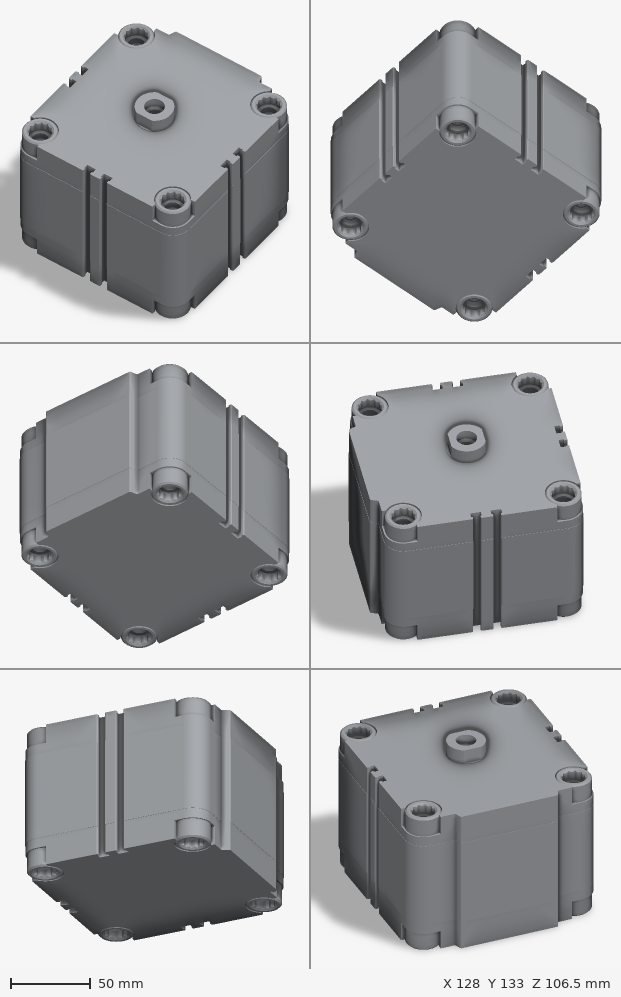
import cadquery as cq
import math

half_width = 64.0
housing_height = 96.5
cap_height = 19.3
cap_inset = 0.2
corner_radius = 12.5
edge_margin = 0.7

pad_height = 5.0
pad_base_half = 35.1
pad_top_half = 33.2
pad_fillet = 1.0

slot_centre = 6.5
slot_width = 6.8
slot_mouth = 4.9
slot_depth = 5.7
lip_thickness = 2.4
lip_chamfer = 0.5

screw_pitch_half = 51.3
screw_diameter = 23.0
screw_height = 12.6
screw_chamfer = 1.0
screw_bore_diameter = 23.3
corner_recess_start = 44.8
socket_diameter = 16.0
socket_depth = 7.8
socket_teeth_length = 6.3
socket_undercut_diameter = 15.4
socket_points = 12
socket_sink_diameter = 17.5
screw_hole_diameter = 10.6
through_hole_diameter = 8.4

rod_diameter = 25.0
rod_stick_out = 10.0
rod_insert = cap_height
rod_across_flats = 22.0
flat_clearance = 0.5
rod_bore_diameter = 13.0
rod_bore_depth = 6.5
thread_hole_diameter = 10.1
thread_hole_depth = 20.0
drill_tip_angle = 118


def profile(inset):
    """Rounded square outline with the raised pad, moved inwards by inset."""
    y_low = -half_width + inset
    y_high = half_width - inset
    y_pad = y_high + pad_height
    r = corner_radius - inset
    bulge = r * math.sqrt(0.5)
    x_side = half_width - inset
    x_arc = x_side - r
    return (
        cq.Workplane("XY")
        .moveTo(-x_arc, y_low)
        .lineTo(x_arc, y_low)
        .threePointArc((x_arc + bulge, y_low + r - bulge), (x_side, y_low + r))
        .lineTo(x_side, y_high - r)
        .threePointArc((x_arc + bulge, y_high - r + bulge), (x_arc, y_high))
        .lineTo(pad_base_half, y_high)
        .lineTo(pad_top_half, y_pad)
        .lineTo(-pad_top_half, y_pad)
        .lineTo(-pad_base_half, y_high)
        .lineTo(-x_arc, y_high)
        .threePointArc((-x_arc - bulge, y_high - r + bulge), (-x_side, y_high - r))
        .lineTo(-x_side, y_low + r)
        .threePointArc((-x_arc - bulge, y_low + r - bulge), (-x_arc, y_low))
        .close()
    )


def section(inset, z_bottom, height):
    """One length of the housing, with the pad edges rounded."""
    block = profile(inset).extrude(height)
    pad_zone = cq.selectors.BoxSelector(
        (-pad_base_half - edge_margin, half_width - inset - edge_margin, 0),
        (pad_base_half + edge_margin, half_width + pad_height + edge_margin, height),
    )
    return block.edges("|Z").edges(pad_zone).fillet(pad_fillet).translate((0, 0, z_bottom))


def slot_pair(face_inset):
    """Cutter for the two T-slots of the -Y face, chamfered where they meet the face."""
    y_face = -half_width + face_inset
    y_lip = -half_width + lip_thickness
    y_floor = -half_width + slot_depth
    mouth = slot_mouth / 2
    wide = slot_width / 2
    flare = mouth + lip_chamfer + edge_margin
    right_side = [
        (flare, y_face - edge_margin),
        (mouth, y_face + lip_chamfer),
        (mouth, y_lip),
        (wide, y_lip),
        (wide, y_floor),
    ]
    left_side = [(-x, y) for x, y in reversed(right_side)]
    slot = cq.Workplane("XY").polyline(right_side + left_side).close().extrude(housing_height)
    left_slot = slot.translate((-slot_centre, 0, 0))
    return slot.translate((slot_centre, 0, 0)).union(left_slot)


def cut_slots(block, face_inset):
    """Cut the slot pairs into the -Y, -X and +X faces of one section."""
    block = block.cut(slot_pair(face_inset))
    for angle in (-90, 90):
        block = block.cut(slot_pair(face_inset).rotate((0, 0, 0), (0, 0, 1), angle))
    return block


def corner_recess(x_sign, y_sign):
    """Square corner cut-out with a round end for the screw, up from Z = 0."""
    size = half_width + edge_margin - corner_recess_start
    middle = corner_recess_start + size / 2
    box = (
        cq.Workplane("XY")
        .center(x_sign * middle, y_sign * middle)
        .rect(size, size)
        .extrude(screw_height)
    )
    bore = (
        cq.Workplane("XY")
        .center(x_sign * screw_pitch_half, y_sign * screw_pitch_half)
        .circle(screw_bore_diameter / 2)
        .extrude(screw_height)
    )
    return box.union(bore)


def socket_inner_radius():
    """Radius of the inner corners, where the sides of the two hexagons cross."""
    hexagon_apothem = socket_diameter / 2 * math.cos(math.pi / 6)
    return hexagon_apothem / math.cos(math.pi / socket_points)


def star_outline():
    """Points of the double hexagon socket, tips and inner corners in turn."""
    step = math.pi / socket_points
    radii = (socket_diameter / 2, socket_inner_radius())
    points = []
    for i in range(2 * socket_points):
        radius = radii[i % 2]
        points.append((radius * math.cos(i * step), radius * math.sin(i * step)))
    return points


def cylinder(diameter, z_bottom, z_top):
    """Upright cylinder on the Z axis."""
    return (
        cq.Workplane("XY", origin=(0, 0, z_bottom))
        .circle(diameter / 2)
        .extrude(z_top - z_bottom)
    )


def screw():
    """Corner screw with its foot at Z = 0 and its socket upwards."""
    socket_floor = screw_height - socket_depth
    teeth_bottom = screw_height - socket_teeth_length
    body = cylinder(screw_diameter, 0, screw_height)
    body = body.faces(">Z").edges().chamfer(screw_chamfer)
    teeth = (
        cq.Workplane("XY", origin=(0, 0, teeth_bottom))
        .polyline(star_outline())
        .close()
        .extrude(socket_teeth_length)
    )
    undercut = cylinder(socket_undercut_diameter, socket_floor, teeth_bottom)
    sink_depth = socket_sink_diameter / 2 - socket_inner_radius()
    sink = cq.Workplane(
        cq.Solid.makeCone(
            socket_inner_radius(),
            socket_sink_diameter / 2,
            sink_depth,
            pnt=cq.Vector(0, 0, screw_height - sink_depth),
        )
    )
    hole = cylinder(screw_hole_diameter, 0, socket_floor)
    return body.cut(teeth).cut(undercut).cut(sink).cut(hole)


def end_cap():
    """Top end cap with its four screws, inner face at Z = 0."""
    cap = cut_slots(section(cap_inset, 0, cap_height), cap_inset)
    recess_floor = cap_height - screw_height
    for x_sign in (-1, 1):
        for y_sign in (-1, 1):
            cap = cap.cut(corner_recess(x_sign, y_sign).translate((0, 0, recess_floor)))
            place = (x_sign * screw_pitch_half, y_sign * screw_pitch_half, recess_floor)
            cap = cap.union(screw().translate(place))
    return cap


def make_housing():
    """Middle tube between two mirrored end caps, with the corner holes and the rod hole."""
    tube_height = housing_height - 2 * cap_height
    tube = cut_slots(section(0, 0, tube_height), 0).translate((0, 0, cap_height))
    cap = end_cap()
    top_cap = cap.translate((0, 0, housing_height - cap_height))
    bottom_cap = cap.mirror("XY").translate((0, 0, cap_height))
    body = tube.union(top_cap).union(bottom_cap)
    corner_holes = (
        cq.Workplane("XY")
        .rect(2 * screw_pitch_half, 2 * screw_pitch_half, forConstruction=True)
        .vertices()
        .circle(through_hole_diameter / 2)
        .extrude(housing_height)
    )
    rod_hole = cylinder(rod_diameter, housing_height - rod_insert, housing_height)
    return body.cut(corner_holes).cut(rod_hole)


def make_rod():
    """Piston rod with two wrench flats and a stepped blind hole in its end."""
    rod_top = housing_height + rod_stick_out
    rod = cylinder(rod_diameter, housing_height - rod_insert, rod_top)
    flat_depth = (rod_diameter - rod_across_flats) / 2
    flat_height = rod_stick_out - flat_clearance
    for side in (-1, 1):
        flat = cq.Workplane("XY").box(rod_diameter, flat_depth, flat_height)
        y_middle = side * (rod_across_flats + flat_depth) / 2
        rod = rod.cut(flat.translate((0, y_middle, rod_top - flat_height / 2)))

    bore_radius = rod_bore_diameter / 2
    thread_radius = thread_hole_diameter / 2
    bore_floor = rod_top - rod_bore_depth
    hole_floor = rod_top - thread_hole_depth
    tip_length = thread_radius / math.tan(math.radians(drill_tip_angle / 2))
    hole = (
        cq.Workplane("XZ")
        .polyline([
            (0, rod_top),
            (bore_radius, rod_top),
            (bore_radius, bore_floor),
            (thread_radius, bore_floor - (bore_radius - thread_radius)),
            (thread_radius, hole_floor),
            (0, hole_floor - tip_length),
        ])
        .close()
        .revolve(360, (0, 0, 0), (0, 1, 0))
    )
    return rod.cut(hole)


housing = make_housing()
rod = make_rod()
result = cq.Compound.makeCompound([housing.val(), rod.val()])